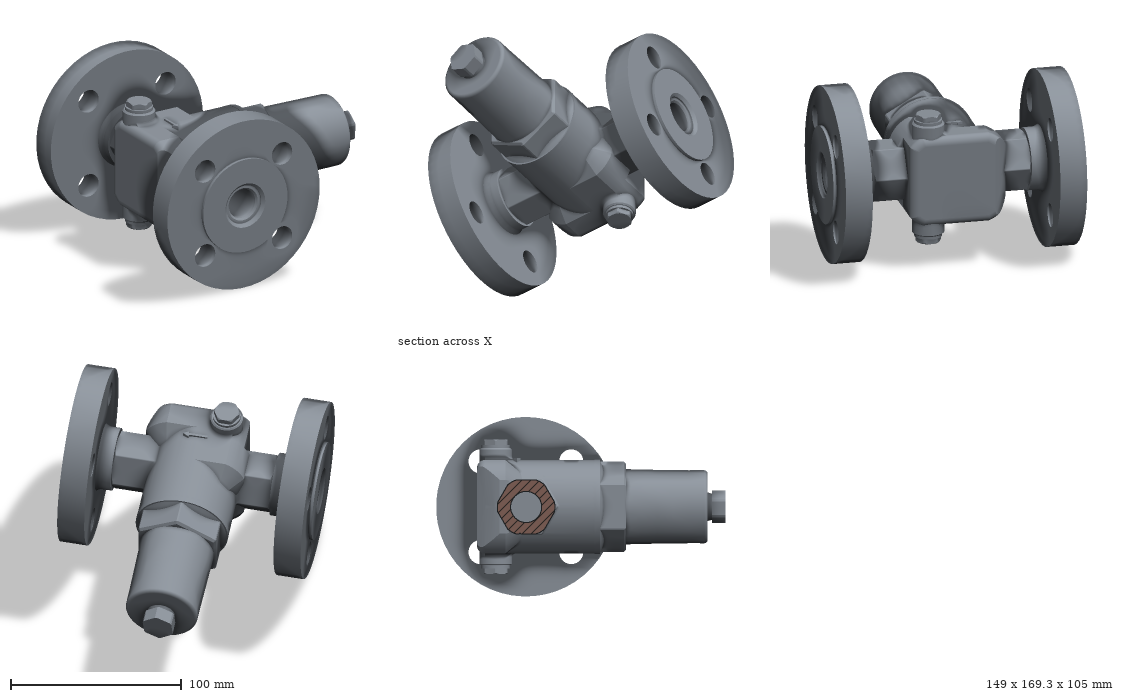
import cadquery as cq
import math


pipe_end = 74.5
flange_diameter = 105.0
flange_thickness = 16.0
raised_face_diameter = 58.0
raised_face_height = 2.0
bolt_hole_diameter = 14.0
bolt_hole_count = 4
bolt_hole_start_angle = 45
bolt_circle_diameter = 75.0
flange_outer_face = pipe_end - raised_face_height
flange_inner_face = flange_outer_face - flange_thickness

collar_diameter = 37.0
collar_length = 9.1
collar_flare = 1.4
collar_flare_length = 3.7
neck_hexagon_flats = 31.8
neck_chamfer_depth = 1.2
collar_end = flange_inner_face - collar_length

mouth_diameter = 27.5
mouth_depth = 1.7
counterbore_diameter = 23.9
counterbore_depth = 2.5
seat_diameter = 20.1
seat_depth = 3.7
bore_diameter = 18.0
bore_end = 30.5

body_diameter = 55.0
body_radius = body_diameter / 2
body_top = 43.3
rim_height = 3.2
rim_inset = 0.2
neck_fillet = 1.5
neck_edge_round = 0.8
shell_radius = body_radius - rim_inset
barrel_bottom = -23.7

chamber_front = -28.6
chamber_height = shell_radius
inlet_reach = 30.8
inlet_bottom = -6.5
inlet_top = 11.7
outlet_reach = 32.2
outlet_top = -12.0
flat_half_width = 19.8
wall_half_height = 15.7
chamber_arc_bulge = 1.2
chamber_slope = 40.0
chamber_slope_length = 10.2
box_reach = 27.5
outlet_corner_width = 9.1
outlet_corner_depth = 13.2
outlet_corner_middle = (28.6, -21.8)
front_fillet = 4.7

boss_x = -14.9
boss_y = -17.6
boss_diameter = 19.1
boss_top = 34.2
boss_chamfer = 0.8
boss_foot_radius = 2.0
plug_collar_diameter = 16.5
plug_collar_top = 36.0
plug_flats = 13.5
plug_diameter = 15.0
plug_top = 39.5
plug_chamfer = 0.7

bonnet_seat_diameter = 53.2
bonnet_seat_height = 2.4
bonnet_flats = 46.2
bonnet_diameter = 52.8
bonnet_top = 58.5
bonnet_chamfer = 1.4
cap_bottom_diameter = 44.0
cap_diameter = 42.7
cap_top = 106.3
cap_fillet = 2.0
washer_bottom_diameter = 16.8
washer_diameter = 15.4
screw_bottom = 108.7
screw_top = 116.8
screw_flats = 17.1
screw_diameter = 19.0
screw_turn = 6.0

arrow_tail_x = -5.8
arrow_neck_x = 5.0
arrow_tip_x = 8.8
arrow_y = -5.2
arrow_shaft_width = 1.4
arrow_head_width = 4.0
arrow_relief = 1.0

HEXAGON_RATIO = 2 / math.sqrt(3)


def spindle_plane(y):
    """Plane across the spindle at height y, with local X along X and local Y along Z."""
    return cq.Workplane("XZ", origin=(0, y, 0)).workplane(invert=True)


def spindle_cylinder(diameter, bottom, top):
    return spindle_plane(bottom).circle(diameter / 2).extrude(top - bottom)


def spindle_cone(bottom_diameter, top_diameter, bottom, top):
    return (
        spindle_plane(bottom)
        .circle(bottom_diameter / 2)
        .workplane(offset=top - bottom)
        .circle(top_diameter / 2)
        .loft()
    )


def spindle_hexagon(flats, diameter, bottom, top, turn=0):
    """Hexagon with its corners trimmed round; unturned, two corners point along Z."""
    blank = (
        spindle_plane(bottom)
        .transformed(rotate=(0, 0, 90 + turn))
        .polygon(6, flats * HEXAGON_RATIO)
        .extrude(top - bottom)
    )
    return blank.intersect(spindle_cylinder(diameter, bottom, top))


def turned_on_pipe(points):
    """Solid of revolution about X from (x, radius) points."""
    return cq.Workplane("XY").polyline(points).close().revolve(360, (0, 0), (1, 0))


def flange():
    disc = cq.Workplane("YZ", origin=(flange_inner_face, 0, 0)).circle(flange_diameter / 2)
    disc = disc.extrude(flange_thickness)
    face = disc.faces(">X").workplane().circle(raised_face_diameter / 2).extrude(raised_face_height)
    return (
        face.faces(">X")
        .workplane()
        .polarArray(bolt_circle_diameter / 2, bolt_hole_start_angle, 360, bolt_hole_count)
        .hole(bolt_hole_diameter)
    )


def collar():
    radius = collar_diameter / 2
    flare_start = flange_inner_face - collar_flare_length
    return (
        cq.Workplane("XY")
        .moveTo(collar_end, 0)
        .lineTo(collar_end, radius)
        .lineTo(flare_start, radius)
        .tangentArcPoint((flange_inner_face, radius + collar_flare), relative=False)
        .lineTo(flange_inner_face, 0)
        .close()
        .revolve(360, (0, 0), (1, 0))
    )


def neck_hexagon():
    """Hexagon with corners towards Y, chamfered where it meets the collar."""
    corner_radius = neck_hexagon_flats * HEXAGON_RATIO / 2
    blank = cq.Workplane("YZ").polygon(6, 2 * corner_radius).extrude(collar_end)
    blank = blank.edges("|X").fillet(neck_edge_round)
    turned = turned_on_pipe([
        (0, 0),
        (0, corner_radius),
        (collar_end - neck_chamfer_depth, corner_radius),
        (collar_end, neck_hexagon_flats / 2),
        (collar_end, 0),
    ])
    return blank.intersect(turned)


def pipe_bore():
    return turned_on_pipe([
        (bore_end, 0),
        (bore_end, bore_diameter / 2),
        (pipe_end - seat_depth, bore_diameter / 2),
        (pipe_end - counterbore_depth, seat_diameter / 2),
        (pipe_end - counterbore_depth, counterbore_diameter / 2),
        (pipe_end - mouth_depth, counterbore_diameter / 2),
        (pipe_end, mouth_diameter / 2),
        (pipe_end, 0),
    ])


def on_both_ends(shape):
    return shape.union(shape.mirror("YZ"))


def shell():
    """Round body with its rim, blended into the two hexagonal necks."""
    barrel = spindle_cylinder(2 * shell_radius, barrel_bottom, body_top - rim_height)
    joined = barrel.union(on_both_ends(neck_hexagon()))
    around_joints = cq.selectors.BoxSelector(
        (-body_radius, -collar_diameter / 2, -body_radius),
        (body_radius, collar_diameter / 2, body_radius),
    )
    joined = joined.edges(around_joints).fillet(neck_fillet)
    return joined.union(spindle_cylinder(body_diameter, body_top - rim_height, body_top))


def chamber_outline(y, reach, side):
    """Half of the chamber cross-section: flat top and bottom, arcs down to an upright end wall."""
    middle_x = (flat_half_width + reach) / 2 + chamber_arc_bulge
    middle_z = (chamber_height + wall_half_height) / 2 + chamber_arc_bulge
    return (
        spindle_plane(y)
        .moveTo(0, -chamber_height)
        .lineTo(side * flat_half_width, -chamber_height)
        .threePointArc((side * middle_x, -middle_z), (side * reach, -wall_half_height))
        .lineTo(side * reach, wall_half_height)
        .threePointArc((side * middle_x, middle_z), (side * flat_half_width, chamber_height))
        .lineTo(0, chamber_height)
        .close()
    )


def sloped_top(top, reach, side):
    return chamber_outline(top, reach, side).extrude(chamber_slope_length, taper=chamber_slope)


def inlet_chamber():
    straight = chamber_outline(inlet_bottom, inlet_reach, -1).extrude(inlet_top - inlet_bottom)
    return straight.union(sloped_top(inlet_top, inlet_reach, -1))


def outlet_chamber():
    straight = chamber_outline(chamber_front, outlet_reach, 1).extrude(outlet_top - chamber_front)
    return straight.union(sloped_top(outlet_top, outlet_reach, 1))


def outlet_corner():
    """Waste outside the rounded lower corner of the outlet chamber."""
    return (
        cq.Workplane("XY")
        .moveTo(outlet_reach, chamber_front)
        .lineTo(outlet_reach - outlet_corner_width, chamber_front)
        .threePointArc(outlet_corner_middle, (outlet_reach, chamber_front + outlet_corner_depth))
        .close()
        .extrude(body_radius, both=True)
    )


def chamber_box():
    """Lower part of the body on the inlet side, with an upright outer wall."""
    deep = chamber_outline(chamber_front, inlet_reach, -1).extrude(-chamber_front)
    keep = cq.Workplane("XY").rect(box_reach, -chamber_front, centered=False).extrude(body_radius, both=True)
    return deep.intersect(keep.translate((-box_reach, chamber_front, 0)))


def boss_foot():
    """Concave blend around the boss, kept to the flat top of the chambers."""
    radius = boss_diameter / 2
    ring = (
        cq.Workplane("XZ")
        .moveTo(0, chamber_height)
        .lineTo(radius + boss_foot_radius, chamber_height)
        .radiusArc((radius, chamber_height + boss_foot_radius), boss_foot_radius)
        .lineTo(0, chamber_height + boss_foot_radius)
        .close()
        .revolve(360, (0, 0), (0, 1))
        .translate((boss_x, boss_y, 0))
    )
    flat_area = cq.Workplane("XY").rect(flat_half_width, -chamber_front - front_fillet, centered=False)
    flat_area = flat_area.extrude(boss_top).translate((-flat_half_width, chamber_front + front_fillet, 0))
    return ring.intersect(flat_area)


def side_boss():
    """Round boss rising along Z from the chamber box, closed by a hexagonal screw plug."""
    boss = cq.Workplane("XY").circle(boss_diameter / 2).extrude(boss_top).faces(">Z").chamfer(boss_chamfer)
    collar_ring = cq.Workplane("XY").circle(plug_collar_diameter / 2).extrude(plug_collar_top)
    plug = cq.Workplane("XY").polygon(6, plug_flats * HEXAGON_RATIO).extrude(plug_top)
    turned = cq.Workplane("XY").circle(plug_diameter / 2).extrude(plug_top)
    turned = turned.faces(">Z").chamfer(plug_chamfer)
    boss = boss.union(collar_ring).union(plug.intersect(turned))
    return boss.translate((boss_x, boss_y, 0)).union(boss_foot())


def bonnet_and_cap():
    seat_top = body_top + bonnet_seat_height
    seat = spindle_cone(bonnet_seat_diameter, bonnet_flats, body_top, seat_top)
    bonnet = spindle_hexagon(bonnet_flats, bonnet_diameter, body_top, bonnet_top)
    bonnet = bonnet.faces(">Y").chamfer(bonnet_chamfer)
    cap = spindle_cone(cap_bottom_diameter, cap_diameter, bonnet_top, cap_top)
    cap = cap.faces(">Y").edges().fillet(cap_fillet)
    washer = spindle_cone(washer_bottom_diameter, washer_diameter, cap_top, screw_bottom)
    screw = spindle_hexagon(screw_flats, screw_diameter, screw_bottom, screw_top, screw_turn)
    return seat.union(bonnet).union(cap).union(washer).union(screw)


def flow_arrow():
    """Arrow pointing along +X, raised above the top of the body."""
    outline = [
        (arrow_tail_x, arrow_shaft_width / 2),
        (arrow_neck_x, arrow_shaft_width / 2),
        (arrow_neck_x, arrow_head_width / 2),
        (arrow_tip_x, 0),
        (arrow_neck_x, -arrow_head_width / 2),
        (arrow_neck_x, -arrow_shaft_width / 2),
        (arrow_tail_x, -arrow_shaft_width / 2),
    ]
    return (
        cq.Workplane("XY")
        .polyline(outline)
        .close()
        .extrude(body_radius + arrow_relief)
        .translate((0, arrow_y, 0))
    )


lower_body = chamber_box().union(outlet_chamber()).clean()
lower_body = lower_body.faces("<Y").edges().fillet(front_fillet).cut(outlet_corner())
body = shell().union(inlet_chamber()).union(lower_body)
boss = side_boss()
body = body.union(boss).union(boss.mirror("XY"))
pipes = on_both_ends(flange().union(collar()))
body = body.union(pipes).union(bonnet_and_cap()).union(flow_arrow())
result = body.cut(on_both_ends(pipe_bore()))